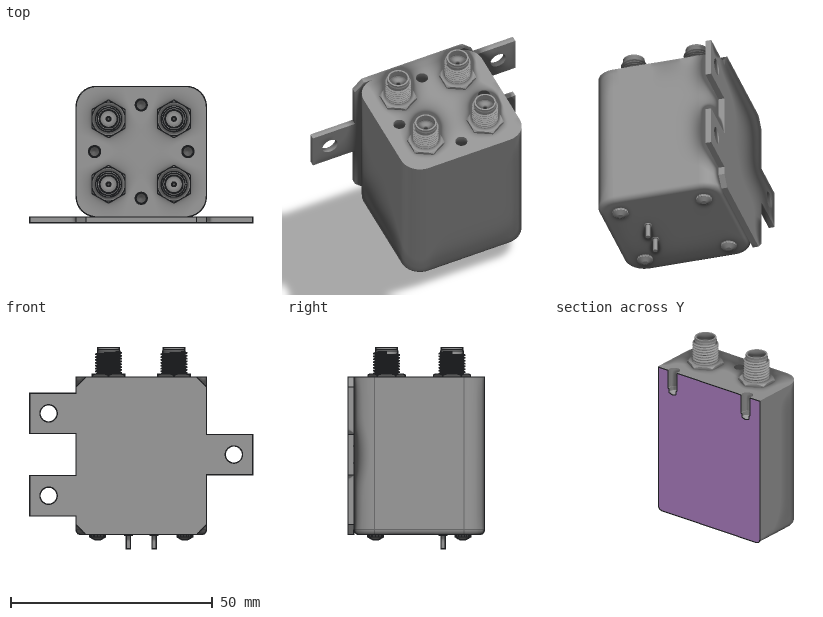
import cadquery as cq
import math

housing_side = 32.35
housing_height = 39.1
housing_corner_radius = 5.1
housing_bottom_fillet = 1.3

connector_pitch = 16.2
connector_height = 7.3
hex_across_flats = 8.1
hex_height = 0.75
hex_corner_diameter = 9.25
hex_corner_chamfer_drop = 0.35
hex_chamfer_diameter = 8.3
collar_diameter = 5.4
collar_height = 0.55
barrel_diameter = 5.6
barrel_taper_height = 0.3
bore_diameter = 4.6
bore_floor_diameter = 4.2
bore_depth = 2.0
contact_mouth_diameter = 1.2
contact_hole_diameter = 0.8
contact_hole_depth = 2.0

thread_pitch = 25.4 / 36
thread_diameter = 6.4
thread_start_height = 0.3
thread_turns = 8.0
thread_root_width = 0.6
thread_crest_width = 0.1
thread_root_overlap = 0.1

tapped_hole_offset = 11.57
thread_hole_diameter = 3.0
thread_hole_depth = 5.0
drill_diameter = 2.5
drill_depth = 6.0
drill_point_angle = 118.0

screw_pitch = 21.6
washer_diameter = 3.95
washer_tooth_depth = 0.12
washer_tooth_count = 16
washer_thickness = 0.6
screw_head_height = 0.7
screw_head_tip_diameter = 1.4

pin_pitch = 6.4
pin_y = 5.9
pin_diameter = 1.15
pin_length = 3.5
pin_collar_diameter = 1.95
pin_collar_height = 0.2

overall_width = 55.3
bracket_thickness = 1.5
bracket_corner_chamfer = 2.5
tab_height = 10.05
tab_hole_diameter = 4.2
tab_hole_end_distance = 4.7
right_tab_z = 19.85
left_tab_spacing = 20.4


def square_points(pitch):
    return [(sx * pitch / 2, sy * pitch / 2) for sx in (-1, 1) for sy in (-1, 1)]


def make_block():
    block = cq.Workplane("XY").box(housing_side, housing_side, housing_height, centered=(True, True, False))
    block = block.edges("|Z").fillet(housing_corner_radius)
    return block.faces("<Z").edges().fillet(housing_bottom_fillet)


def make_hex_flange():
    """Hexagon with corners on the Y axis, its corners turned down and coned at the top."""
    across_corners = hex_across_flats / math.cos(math.pi / 6)
    flange = cq.Workplane("XY").polygon(6, across_corners).extrude(hex_height)
    flange = flange.rotate((0, 0, 0), (0, 0, 1), 30)
    corner_cone = (
        cq.Workplane("XZ")
        .lineTo(hex_corner_diameter / 2, 0)
        .lineTo(hex_corner_diameter / 2, hex_height - hex_corner_chamfer_drop)
        .lineTo(hex_chamfer_diameter / 2, hex_height)
        .lineTo(0, hex_height)
        .close()
        .revolve()
    )
    return flange.intersect(corner_cone)


def make_thread():
    """Right-handed V ridge that starts on the +X side inside the flange and overlaps the barrel slightly."""
    root_x = barrel_diameter / 2 - thread_root_overlap
    crest_x = thread_diameter / 2
    helix = cq.Wire.makeHelix(thread_pitch, thread_pitch * thread_turns, barrel_diameter / 2)
    ridge = (
        cq.Workplane("XZ")
        .moveTo(root_x, -thread_root_width / 2)
        .lineTo(crest_x, -thread_crest_width / 2)
        .lineTo(crest_x, thread_crest_width / 2)
        .lineTo(root_x, thread_root_width / 2)
        .close()
        .sweep(cq.Workplane(obj=helix), isFrenet=True)
    )
    return ridge.translate((0, 0, thread_start_height))


def make_connector():
    """Connector standing on Z = 0: hex flange, threaded barrel, plain collar and stepped bore."""
    collar_z = connector_height - collar_height
    barrel = (
        cq.Workplane("XZ")
        .lineTo(barrel_diameter / 2, 0)
        .lineTo(barrel_diameter / 2, collar_z - barrel_taper_height)
        .lineTo(collar_diameter / 2, collar_z)
        .lineTo(collar_diameter / 2, connector_height)
        .lineTo(0, connector_height)
        .close()
        .revolve()
    )
    floor_z = connector_height - bore_depth
    floor_step = (bore_diameter - bore_floor_diameter) / 2
    contact_step = (contact_mouth_diameter - contact_hole_diameter) / 2
    bore = (
        cq.Workplane("XZ")
        .moveTo(0, connector_height)
        .lineTo(bore_diameter / 2, connector_height)
        .lineTo(bore_diameter / 2, floor_z + floor_step)
        .lineTo(bore_floor_diameter / 2, floor_z)
        .lineTo(contact_mouth_diameter / 2, floor_z)
        .lineTo(contact_hole_diameter / 2, floor_z - contact_step)
        .lineTo(contact_hole_diameter / 2, floor_z - contact_hole_depth)
        .lineTo(0, floor_z - contact_hole_depth)
        .close()
        .revolve()
    )
    return barrel.union(make_thread()).union(make_hex_flange()).cut(bore)


def make_tapped_hole():
    """Cutter hanging below Z = 0: thread diameter, then the drilled core with its point."""
    thread_radius = thread_hole_diameter / 2
    drill_radius = drill_diameter / 2
    point_depth = drill_radius / math.tan(math.radians(drill_point_angle / 2))
    return (
        cq.Workplane("XZ")
        .lineTo(thread_radius, 0)
        .lineTo(thread_radius, -thread_hole_depth)
        .lineTo(drill_radius, -thread_hole_depth)
        .lineTo(drill_radius, -drill_depth)
        .lineTo(0, -drill_depth - point_depth)
        .close()
        .revolve()
    )


def make_screw():
    """Toothed washer and tapered screw head hanging below Z = 0."""
    tip_radius = washer_diameter / 2
    valley_radius = tip_radius - washer_tooth_depth
    outline = []
    for i in range(2 * washer_tooth_count):
        radius = tip_radius if i % 2 == 0 else valley_radius
        angle = math.pi * i / washer_tooth_count
        outline.append((radius * math.cos(angle), radius * math.sin(angle)))
    washer = cq.Workplane("XY").polyline(outline).close().extrude(-washer_thickness)
    head = (
        cq.Workplane("XZ")
        .moveTo(0, -washer_thickness)
        .lineTo(valley_radius, -washer_thickness)
        .lineTo(screw_head_tip_diameter / 2, -washer_thickness - screw_head_height)
        .lineTo(0, -washer_thickness - screw_head_height)
        .close()
        .revolve()
    )
    return washer.union(head)


def make_pin():
    collar = cq.Workplane("XY").circle(pin_collar_diameter / 2).extrude(-pin_collar_height)
    return collar.union(cq.Workplane("XY").circle(pin_diameter / 2).extrude(-pin_length))


def make_housing():
    body = make_block()

    connector = make_connector()
    for x, y in square_points(connector_pitch):
        body = body.union(connector.translate((x, y, housing_height)))

    tapped_hole = make_tapped_hole()
    for i in range(4):
        placed = tapped_hole.translate((tapped_hole_offset, 0, housing_height))
        body = body.cut(placed.rotate((0, 0, 0), (0, 0, 1), 90 * i))

    screw = make_screw()
    for x, y in square_points(screw_pitch):
        body = body.union(screw.translate((x, y, 0)))

    pin = make_pin()
    for x in (-pin_pitch / 2, pin_pitch / 2):
        body = body.union(pin.translate((x, pin_y, 0)))
    return body


def make_bracket():
    """Flat plate behind the housing's -Y face: two tabs toward -X and one toward +X."""
    back_face_y = -housing_side / 2
    center_y = back_face_y - bracket_thickness / 2
    center_z = housing_height / 2
    plate = cq.Workplane("XY").box(housing_side, bracket_thickness, housing_height)
    plate = plate.edges("|Y").chamfer(bracket_corner_chamfer).translate((0, center_y, center_z))

    tabs = [
        (-1, right_tab_z - left_tab_spacing / 2),
        (-1, right_tab_z + left_tab_spacing / 2),
        (1, right_tab_z),
    ]
    hole_x = overall_width / 2 - tab_hole_end_distance
    tab_reach = overall_width / 2
    for side, z in tabs:
        tab = cq.Workplane("XY").box(tab_reach, bracket_thickness, tab_height)
        plate = plate.union(tab.translate((side * tab_reach / 2, center_y, z)))
        hole = cq.Workplane("XZ", origin=(side * hole_x, back_face_y, z))
        plate = plate.cut(hole.circle(tab_hole_diameter / 2).extrude(bracket_thickness))
    return plate


housing = make_housing()
bracket = make_bracket()

result = cq.Compound.makeCompound([housing.val(), bracket.val()])